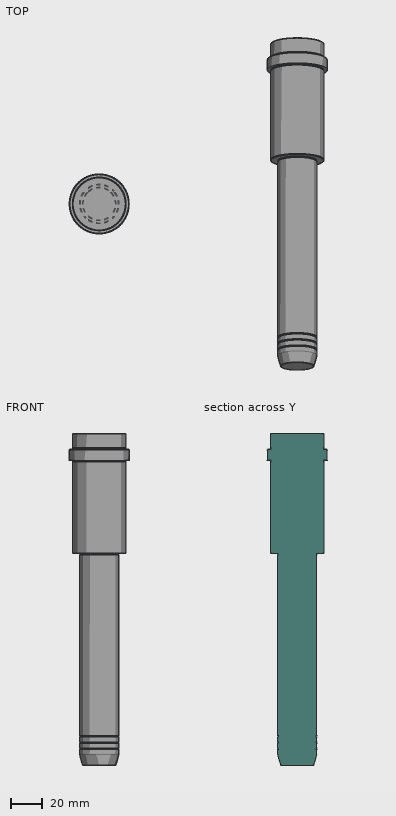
import cadquery as cq

total_length = 210.0
head_length = 76.0
head_diameter = 34.0
head_edge_chamfer = 0.5
shank_diameter = 25.0

collar_diameter = 38.0
collar_thickness = 7.0
collar_top_offset = 10.0
collar_edge_chamfer = 0.5

relief_width = 1.0
relief_floor_width = 0.5
relief_depth = 0.2

tip_length = 7.0
tip_diameter = 21.0
tip_bulge = 0.1
tip_edge_chamfer = 0.3

groove_count = 3
groove_pitch = 4.0
groove_width = 1.0
groove_depth = 0.5
first_groove_height = 10.5

head_radius = head_diameter / 2
shank_radius = shank_diameter / 2
tip_radius = tip_diameter / 2
head_bottom = total_length - head_length
collar_top = total_length - collar_top_offset
collar_bottom = collar_top - collar_thickness


def cylinder(radius, bottom, height):
    """Solid cylinder on the Z axis."""
    return cq.Workplane("XY").workplane(offset=bottom).circle(radius).extrude(height)


def revolve_section(points):
    """Solid of revolution about Z from a closed section of (radius, height) points."""
    return cq.Workplane("XZ").polyline(points).close().revolve(360, (0, 0, 0), (0, 1, 0))


def relief_cutter(radius, shoulder, direction):
    """Ring for a relief groove against a shoulder, running up (+1) or down (-1) from it."""
    floor_radius = radius - relief_depth
    floor_end = shoulder + direction * relief_floor_width
    slope_end = shoulder + direction * relief_width
    return revolve_section(
        [(radius, shoulder), (floor_radius, shoulder), (floor_radius, floor_end), (radius, slope_end)]
    )


def oil_groove_cutter(height):
    """Ring of V section, centred at the given height on the shank."""
    half_width = groove_width / 2
    return revolve_section(
        [
            (shank_radius, height - half_width),
            (shank_radius - groove_depth, height),
            (shank_radius, height + half_width),
        ]
    )


def make_shank():
    """Shank with a convex tip, a relief below the head and a row of oil grooves."""
    arc_middle = ((shank_radius + tip_radius) / 2 + tip_bulge, tip_length / 2)
    profile = (
        cq.Workplane("XZ")
        .lineTo(tip_radius, 0)
        .threePointArc(arc_middle, (shank_radius, tip_length))
        .lineTo(shank_radius, head_bottom)
        .lineTo(0, head_bottom)
        .close()
    )
    shank = profile.revolve(360, (0, 0, 0), (0, 1, 0))
    shank = shank.faces("<Z").edges().chamfer(tip_edge_chamfer)
    shank = shank.cut(relief_cutter(shank_radius, head_bottom, -1))
    for index in range(groove_count):
        shank = shank.cut(oil_groove_cutter(first_groove_height + index * groove_pitch))
    return shank


def make_head():
    """Chamfered head with a relief groove on each side of the collar."""
    head = cylinder(head_radius, head_bottom, head_length)
    head = head.faces("<Z or >Z").edges().chamfer(head_edge_chamfer)
    head = head.cut(relief_cutter(head_radius, collar_top, 1))
    return head.cut(relief_cutter(head_radius, collar_bottom, -1))


def make_collar():
    """Collar with a chamfered upper rim."""
    collar = cylinder(collar_diameter / 2, collar_bottom, collar_thickness)
    return collar.faces(">Z").edges().chamfer(collar_edge_chamfer)


result = make_shank().union(make_head()).union(make_collar())